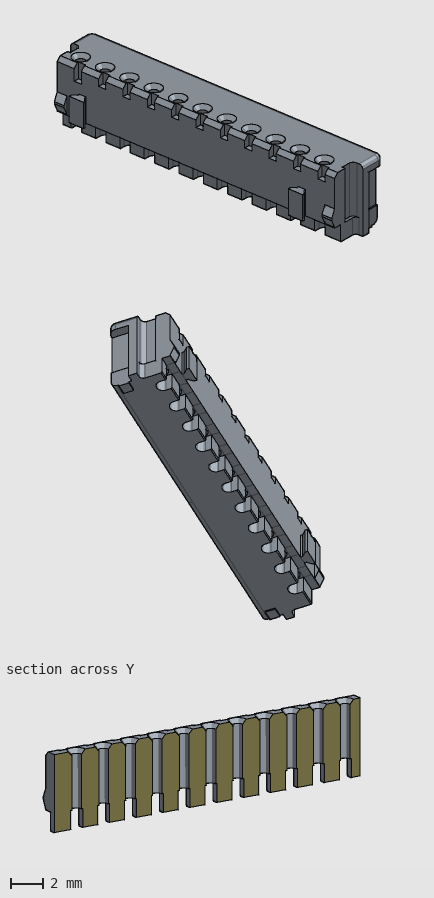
import cadquery as cq
import math


LENGTH = 23.99
HEIGHT = 5.1
WING_DEPTH = 1.98
WING_CORNER_RADIUS = 0.5
TOP_EDGE_RADIUS = 0.3
BOTTOM_EDGE_RADIUS = 0.4
BODY_LENGTH = 22.78
BODY_DEPTH = 3.98
FOOT_DEPTH = 3.43
FOOT_HEIGHT = 1.24
FOOT_CHAMFER = 0.07
FRONT_CHAMFER = 0.3
SHOULDER_RADIUS = 0.28

PITCH = 2.0
CONTACT_COUNT = 11
FIRST_CONTACT_X = -10.29
CONTACT_DEPTH = 3.0
HOLE_RADIUS = 0.34
MOUTH_RADIUS = 0.61
MOUTH_HEIGHT = 0.3
FOOT_SLOT_RADIUS = 0.43

NOTCH_OFFSET = 0.59
NOTCH_WIDTH = 0.58
NOTCH_BACK = 3.56
NOTCH_HEIGHT = 0.83
FIRST_NOTCH_HEIGHT = 1.2

RIB_TOP = 3.13
RIB_FRONT = 4.6
RIB_WIDTH = 1.18
RIB_NECK_WIDTH = 0.58
RIB_NECK_LENGTH = 0.15
RIB_LIP = 0.17
RIB_GAPS = (0, CONTACT_COUNT - 2)

BUMP_WIDTH = 0.8
BUMP_BOTTOM = 1.3
BUMP_TOP = 2.63
BUMP_FLAT_HEIGHT = 0.16
BUMP_PROJECTION = 0.27

WING_RECESS_DEPTH = 1.4
WING_RECESS_TOP = 4.37
WING_RECESS_X = 11.38
WING_FOOT_X = 11.5
CHANNEL_X = 11.16
CHANNEL_BACK_X = 11.53
CHANNEL_CURVE_DEPTH = 2.26
CHANNEL_FRONT = 2.98

PAD_OUTER_X = WING_FOOT_X
PAD_WIDTH = 0.74
PAD_BACK = 0.5
PAD_FRONT = 1.2
PAD_HEIGHT = 0.1


def block(x_range, depth_range, z_range):
    """Box from ranges of X, depth behind the back face, and Z."""
    x0, x1 = x_range
    d0, d1 = depth_range
    z0, z1 = z_range
    return cq.Workplane("XY").box(x1 - x0, d1 - d0, z1 - z0, centered=False).translate((x0, -d1, z0))


def both_ends(shape):
    """The shape at the -X end joined with its mirror image at the +X end."""
    return shape.union(shape.mirror("YZ"))


def contact_xs():
    return [FIRST_CONTACT_X + PITCH * i for i in range(CONTACT_COUNT)]


def housing():
    """Full-length block with rounded rear corners and top edges, and a chamfered top front edge."""
    half = LENGTH / 2
    shell = block((-half, half), (0, BODY_DEPTH), (0, HEIGHT))
    shell = shell.edges("|Z and >Y").fillet(WING_CORNER_RADIUS)
    top_edges = shell.faces(">Z").edges("not <Y")
    shell = shell.newObject(top_edges.vals()).fillet(TOP_EDGE_RADIUS)
    return shell.edges("|X and >Z and <Y").chamfer(FRONT_CHAMFER)


def wing_recess():
    """Waste of the side recess in the -X wing, deeper above the foot than beside it."""
    end_x = -LENGTH / 2
    upper = block((end_x, -WING_RECESS_X), (0, WING_RECESS_DEPTH), (FOOT_HEIGHT, WING_RECESS_TOP))
    lower = block((end_x, -WING_FOOT_X), (0, WING_RECESS_DEPTH), (0, FOOT_HEIGHT))
    return upper.union(lower)


def wing_core():
    """Square-cornered core behind the wing recesses, below their tops."""
    core = block((-WING_RECESS_X, WING_RECESS_X), (0, WING_DEPTH), (0, WING_RECESS_TOP))
    return core.union(block((-WING_FOOT_X, WING_FOOT_X), (0, WING_DEPTH), (0, FOOT_HEIGHT)))


def bottom_round():
    """Waste removed to round the bottom rear edge."""
    r = BOTTOM_EDGE_RADIUS
    waste = block((-LENGTH / 2, LENGTH / 2), (0, r), (0, r))
    rod = cq.Workplane("YZ").center(-r, r).circle(r).extrude(LENGTH / 2, both=True)
    return waste.cut(rod)


def foot_step():
    """Waste below the front body that sets the foot back, with a small chamfer under the foot."""
    profile = [
        (-BODY_DEPTH, 0),
        (-FOOT_DEPTH + FOOT_CHAMFER, 0),
        (-FOOT_DEPTH, FOOT_CHAMFER),
        (-FOOT_DEPTH, FOOT_HEIGHT),
        (-BODY_DEPTH, FOOT_HEIGHT),
    ]
    return cq.Workplane("YZ").polyline(profile).close().extrude(LENGTH / 2, both=True)


def shoulder_cut(arc_start_x, side_x, arc_depth, front_depth, z_range):
    """Waste in front of the -X wing, with a concave corner where the wing meets the body side."""
    z0, z1 = z_range
    arc_width = side_x - arc_start_x
    drop = arc_depth - WING_DEPTH
    middle_x = arc_start_x + arc_width * math.sin(math.pi / 4)
    middle_y = -WING_DEPTH - drop * (1 - math.cos(math.pi / 4))
    return (
        cq.Workplane("XY", origin=(0, 0, z0))
        .moveTo(-LENGTH / 2, -WING_DEPTH)
        .lineTo(arc_start_x, -WING_DEPTH)
        .threePointArc((middle_x, middle_y), (side_x, -arc_depth))
        .lineTo(side_x, -front_depth)
        .lineTo(-LENGTH / 2, -front_depth)
        .close()
        .extrude(z1 - z0)
    )


def end_relief():
    """Waste that narrows the front body at the -X end and sinks a channel beside the wing."""
    side_x = -BODY_LENGTH / 2
    foot_side = shoulder_cut(
        side_x - SHOULDER_RADIUS, side_x, WING_DEPTH + SHOULDER_RADIUS, BODY_DEPTH, (0, FOOT_HEIGHT)
    )
    channel = shoulder_cut(
        -CHANNEL_BACK_X, -CHANNEL_X, CHANNEL_CURVE_DEPTH, CHANNEL_FRONT, (FOOT_HEIGHT, HEIGHT)
    )
    body_side = block((-LENGTH / 2, side_x), (CHANNEL_FRONT, RIB_FRONT), (FOOT_HEIGHT, HEIGHT))
    return foot_side.union(channel).union(body_side)


def contact_hole(x):
    """Through hole with a conical mouth and a slot open to the front of the foot."""
    hole = cq.Workplane("XY").center(x, -CONTACT_DEPTH).circle(HOLE_RADIUS).extrude(HEIGHT)
    mouth = cq.Solid.makeCone(
        HOLE_RADIUS, MOUTH_RADIUS, MOUTH_HEIGHT, pnt=(x, -CONTACT_DEPTH, HEIGHT - MOUTH_HEIGHT)
    )
    slot = cq.Workplane("XY").center(x, -CONTACT_DEPTH).circle(FOOT_SLOT_RADIUS).extrude(FOOT_HEIGHT)
    opening = block(
        (x - FOOT_SLOT_RADIUS, x + FOOT_SLOT_RADIUS), (CONTACT_DEPTH, BODY_DEPTH), (0, FOOT_HEIGHT)
    )
    return hole.union(cq.Workplane(mouth)).union(slot).union(opening)


def notch(contact_x, height):
    x = contact_x + NOTCH_OFFSET
    half = NOTCH_WIDTH / 2
    return block((x - half, x + half), (NOTCH_BACK, BODY_DEPTH), (HEIGHT - height, HEIGHT))


def dovetail_rib(x):
    """Upright rib whose plan widens from a neck to a flat lip."""
    neck = RIB_NECK_WIDTH / 2
    lip = RIB_WIDTH / 2
    neck_y = -BODY_DEPTH - RIB_NECK_LENGTH
    lip_y = -RIB_FRONT + RIB_LIP
    half_plan = [(neck, -BODY_DEPTH), (neck, neck_y), (lip, lip_y), (lip, -RIB_FRONT)]
    plan = half_plan + [(-px, py) for px, py in reversed(half_plan)]
    rib = cq.Workplane("XY").polyline(plan).close().extrude(RIB_TOP - FOOT_HEIGHT)
    return rib.translate((x, 0, FOOT_HEIGHT))


def latch_bump():
    """Trapezoidal bump on the front face, running past the -X body side to be trimmed flush with it."""
    middle = (BUMP_BOTTOM + BUMP_TOP) / 2
    crest = -BODY_DEPTH - BUMP_PROJECTION
    profile = [
        (-BODY_DEPTH, BUMP_BOTTOM),
        (crest, middle - BUMP_FLAT_HEIGHT / 2),
        (crest, middle + BUMP_FLAT_HEIGHT / 2),
        (-BODY_DEPTH, BUMP_TOP),
    ]
    bump = cq.Workplane("YZ").polyline(profile).close().extrude(BUMP_WIDTH + (LENGTH - BODY_LENGTH) / 2)
    return bump.translate((-LENGTH / 2, 0, 0))


def pad():
    """Standoff pad under the -X end."""
    return block((-PAD_OUTER_X, -PAD_OUTER_X + PAD_WIDTH), (PAD_BACK, PAD_FRONT), (-PAD_HEIGHT, 0))


result = housing().cut(both_ends(wing_recess())).union(wing_core())
result = result.cut(bottom_round()).cut(foot_step())
result = result.union(both_ends(latch_bump())).cut(both_ends(end_relief()))
result = result.union(both_ends(pad()))

for gap in RIB_GAPS:
    result = result.union(dovetail_rib(FIRST_CONTACT_X + PITCH * (gap + 0.5)))

for index, contact_x in enumerate(contact_xs()):
    notch_height = FIRST_NOTCH_HEIGHT if index == 0 else NOTCH_HEIGHT
    result = result.cut(contact_hole(contact_x)).cut(notch(contact_x, notch_height))